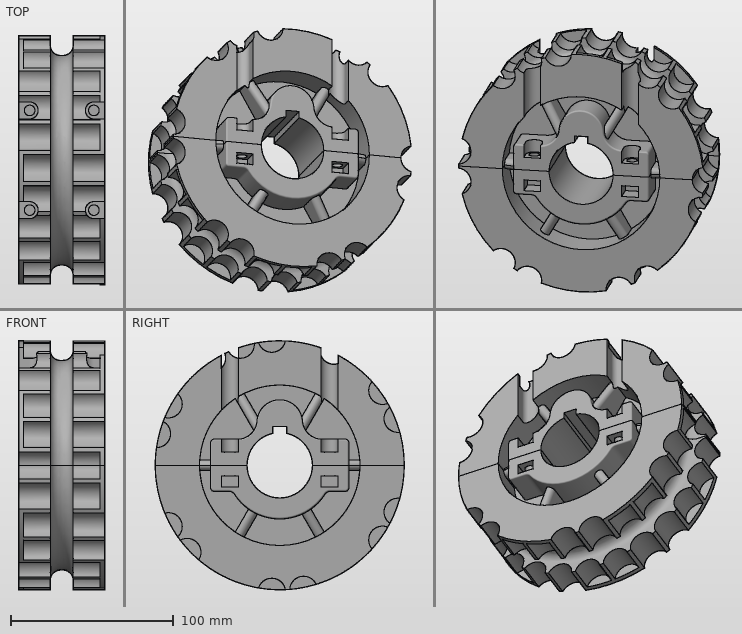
import cadquery as cq
import math


overlap = 1.0

width = 53.0
outer_radius = 76.5
recess_radius = 49.25
recess_depth = 22.0

groove_width = 14.0
groove_floor_width = 1.5
groove_depth = 12.1
groove_corner_radius = (groove_width - groove_floor_width) / 2

scallop_count = 25
scallop_radius = 8.5
scallop_floor_radius = 69.5
end_wall = 3.0
pattern_centre = 8
pattern_period = 4

rib_count = 6
rib_thickness = 6.3
rib_inner_radius = 25.0
rib_outer_radius = recess_radius + overlap
rib_hub_setback = 2.3
rib_rim_setback = 7.8

arm_half_length = 42.4
arm_half_height = 16.0
arm_corner_radius = 2.0
boss_radius = 14.0
boss_top = 40.2
boss_blend = 12.0
hub_belly_radius = 33.0
belly_blend = 4.0
hub_edge_radius = 1.0
bore_radius = 20.0
keyway_width = 8.3
keyway_top = 23.7

screw_y = 30.6
screw_inset = 6.8
screw_hole_diameter = 6.5
slot_width = 10.4
head_seat = 8.1
nut_pocket_top = -6.5
nut_pocket_bottom = -13.4
nut_pocket_depth = screw_inset + slot_width / 2

half_width = width / 2
screw_x = half_width - screw_inset


def rim_and_web():
    """Rim with the rope groove, joined by the thin web between the two recesses."""
    half_web = half_width - recess_depth
    groove_floor = outer_radius - groove_depth
    corner_height = groove_floor + groove_corner_radius
    half_groove = groove_width / 2
    half_floor = groove_floor_width / 2
    bend = groove_corner_radius * math.sqrt(0.5)
    profile = (
        cq.Workplane("XY")
        .moveTo(-half_web, 0)
        .lineTo(-half_web, recess_radius)
        .lineTo(-half_width, recess_radius)
        .lineTo(-half_width, outer_radius)
        .lineTo(-half_groove, outer_radius)
        .lineTo(-half_groove, corner_height)
        .threePointArc((-half_floor - bend, corner_height - bend), (-half_floor, groove_floor))
        .lineTo(half_floor, groove_floor)
        .threePointArc((half_floor + bend, corner_height - bend), (half_groove, corner_height))
        .lineTo(half_groove, outer_radius)
        .lineTo(half_width, outer_radius)
        .lineTo(half_width, recess_radius)
        .lineTo(half_web, recess_radius)
        .lineTo(half_web, 0)
        .close()
    )
    return profile.revolve(360, (0, 0, 0), (1, 0, 0))


def scallops():
    """Cylinders for the scallops, numbered upward from the -Y side."""
    centre_radius = scallop_floor_radius + scallop_radius
    length = width - end_wall
    cutters = cq.Workplane("YZ")
    for index in range(scallop_count):
        angle = 2 * math.pi * index / scallop_count
        steps = abs(index - pattern_centre)
        steps = min(steps, scallop_count - steps)
        open_at_minus_x = steps % pattern_period < pattern_period / 2
        start = -half_width if open_at_minus_x else -half_width + end_wall
        cutter = (
            cq.Workplane("YZ", origin=(start, 0, 0))
            .center(-centre_radius * math.cos(angle), centre_radius * math.sin(angle))
            .circle(scallop_radius)
            .extrude(length)
        )
        cutters = cutters.add(cutter)
    return cutters.combine()


def ribs():
    """Radial plates standing out of both sides of the web, tallest at the hub, with rounded edges."""
    half_thickness = rib_thickness / 2
    inner_x = half_width - rib_hub_setback - half_thickness
    outer_x = half_width - rib_rim_setback - half_thickness
    plate = (
        cq.Workplane("XY")
        .polyline([
            (-inner_x, rib_inner_radius),
            (inner_x, rib_inner_radius),
            (outer_x, rib_outer_radius),
            (-outer_x, rib_outer_radius),
        ])
        .close()
        .extrude(half_thickness, both=True)
    )
    edge_length = math.hypot(outer_x - inner_x, rib_outer_radius - rib_inner_radius)
    for side in (-1, 1):
        start = cq.Vector(side * inner_x, rib_inner_radius, 0)
        end = cq.Vector(side * outer_x, rib_outer_radius, 0)
        rounded_edge = cq.Solid.makeCylinder(half_thickness, edge_length, start, end - start)
        plate = plate.union(cq.Workplane(rounded_edge))
    plates = cq.Workplane("XY")
    for index in range(rib_count):
        plates = plates.add(plate.rotate((0, 0, 0), (1, 0, 0), 360 * index / rib_count))
    return plates.combine()


def hub():
    """Clamp hub: arms for the screws, a round boss on top and a round belly below."""
    boss_z = boss_top - boss_radius
    blend_z = arm_half_height + boss_blend
    blend_y = math.sqrt((boss_radius + boss_blend) ** 2 - (blend_z - boss_z) ** 2)
    boss_share = boss_radius / (boss_radius + boss_blend)
    boss_tangent_y = blend_y * boss_share
    boss_tangent_z = boss_z + (blend_z - boss_z) * boss_share

    neck_z = -arm_half_height - belly_blend
    neck_y = math.sqrt((hub_belly_radius + belly_blend) ** 2 - neck_z ** 2)
    belly_share = hub_belly_radius / (hub_belly_radius + belly_blend)

    arms = (
        cq.Workplane("YZ")
        .rect(2 * arm_half_length, 2 * arm_half_height)
        .extrude(half_width, both=True)
        .edges("|X")
        .fillet(arm_corner_radius)
    )
    boss = (
        cq.Workplane("YZ")
        .moveTo(-blend_y, arm_half_height)
        .radiusArc((-boss_tangent_y, boss_tangent_z), -boss_blend)
        .threePointArc((0, boss_top), (boss_tangent_y, boss_tangent_z))
        .radiusArc((blend_y, arm_half_height), -boss_blend)
        .lineTo(blend_y, 0)
        .lineTo(-blend_y, 0)
        .close()
        .extrude(half_width, both=True)
    )
    belly = (
        cq.Workplane("YZ")
        .moveTo(-neck_y, -arm_half_height)
        .radiusArc((-neck_y * belly_share, neck_z * belly_share), belly_blend)
        .threePointArc((0, -hub_belly_radius), (neck_y * belly_share, neck_z * belly_share))
        .radiusArc((neck_y, -arm_half_height), belly_blend)
        .lineTo(neck_y, 0)
        .lineTo(-neck_y, 0)
        .close()
        .extrude(half_width, both=True)
    )
    body = arms.union(boss).union(belly).clean()
    return body.faces("<X or >X").edges().fillet(hub_edge_radius)


def bore():
    """Shaft bore with its keyway."""
    hole = cq.Workplane("YZ").circle(bore_radius).extrude(half_width, both=True)
    keyway = cq.Workplane("XY").box(width, keyway_width, keyway_top, centered=(True, True, False))
    return hole.union(keyway)


def screw_cut(side, y):
    """Room for one clamp screw: open head slot, screw hole and nut pocket."""
    x = side * screw_x
    slot_height = outer_radius - head_seat
    slot = (
        cq.Workplane("XY", origin=(side * (half_width - screw_inset / 2), y, head_seat))
        .rect(screw_inset, slot_width)
        .extrude(slot_height)
    )
    slot_end = (
        cq.Workplane("XY", origin=(x, y, head_seat))
        .circle(slot_width / 2)
        .extrude(slot_height)
    )
    hole = (
        cq.Workplane("XY", origin=(x, y, nut_pocket_top))
        .circle(screw_hole_diameter / 2)
        .extrude(head_seat - nut_pocket_top)
    )
    pocket = (
        cq.Workplane("XY", origin=(side * (half_width - nut_pocket_depth / 2), y, nut_pocket_bottom))
        .rect(nut_pocket_depth, slot_width)
        .extrude(nut_pocket_top - nut_pocket_bottom)
    )
    return slot.union(slot_end).union(hole).union(pocket)


def sprocket():
    """The whole sprocket before it is parted."""
    body = rim_and_web().union(ribs()).union(hub()).cut(scallops()).cut(bore())
    for side in (-1, 1):
        for y in (-screw_y, screw_y):
            body = body.cut(screw_cut(side, y))
    return body


def half_space(direction):
    """Block covering everything above (1) or below (-1) the parting plane."""
    height = outer_radius + overlap
    block = cq.Workplane("XY").box(2 * width, 2 * height, height)
    return block.translate((0, 0, direction * height / 2))


whole = sprocket()
upper_half = whole.intersect(half_space(1))
lower_half = whole.intersect(half_space(-1))

result = cq.Compound.makeCompound([upper_half.val(), lower_half.val()])